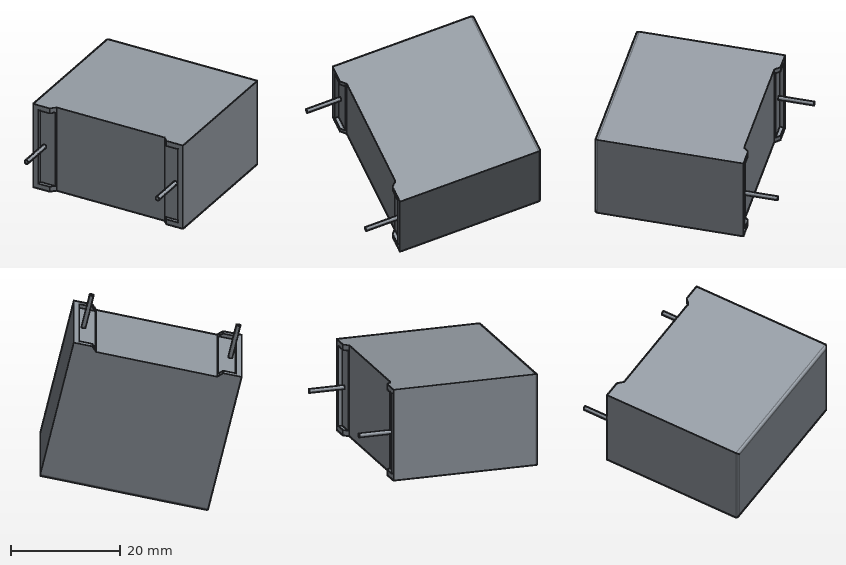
import cadquery as cq

width = 31.5
height = 17.5
total_length = 34.0
lead_length = 6.0
housing_length = total_length - lead_length
back_radius = 0.5

relief_width = 22.65
relief_depth = 0.95

pocket_wall = 1.05
pocket_depth = 0.75
pocket_height = height - 2 * pocket_wall

lead_diameter = 0.78
lead_spacing = 27.5

front_y = -housing_length / 2
lead_end_y = front_y - lead_length
pocket_floor_y = front_y + pocket_depth
SIDES = (-1, 1)


def make_relief():
    """Full-height trapezoid cutter with 45 degree flanks."""
    half_inner = relief_width / 2
    half_outer = half_inner + relief_depth
    return (
        cq.Workplane("XY")
        .polyline([
            (-half_outer, front_y),
            (half_outer, front_y),
            (half_inner, front_y + relief_depth),
            (-half_inner, front_y + relief_depth),
        ])
        .close()
        .extrude(height / 2, both=True)
    )


def make_pocket(side):
    """Box cutter for one foot, open towards the relief so that its floor ends at the sloping flank."""
    inner_x = relief_width / 2
    outer_x = width / 2 - pocket_wall
    return (
        cq.Workplane("XY")
        .box(outer_x - inner_x, pocket_depth, pocket_height)
        .translate((side * (inner_x + outer_x) / 2, front_y + pocket_depth / 2, 0))
    )


def make_housing():
    """Block with rounded back edges, a relief and two pockets."""
    block = cq.Workplane("XY").box(width, housing_length, height)
    block = block.faces(">Y").edges().fillet(back_radius)
    block = block.cut(make_relief())
    for side in SIDES:
        block = block.cut(make_pocket(side))
    return block


def make_lead(side):
    """Straight wire from the pocket floor to the free end."""
    return cq.Solid.makeCylinder(
        lead_diameter / 2,
        pocket_floor_y - lead_end_y,
        cq.Vector(side * lead_spacing / 2, lead_end_y, 0),
        cq.Vector(0, 1, 0),
    )


housing = make_housing()
leads = [make_lead(side) for side in SIDES]

result = cq.Compound.makeCompound([housing.val(), *leads])